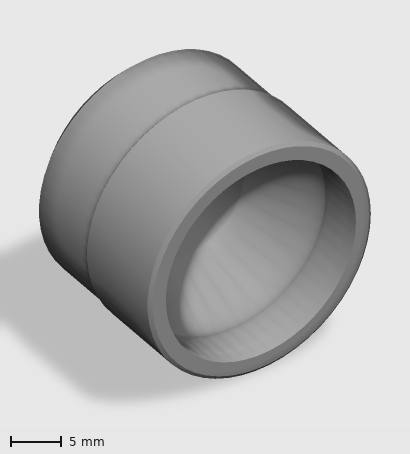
import cadquery as cq
import math

length = 21.0
head_diameter = 26.9
body_diameter = 26.4
bore_diameter = 14.0
counterbore_diameter = 22.9

nose_chamfer = 1.6
head_length = 10.75
head_chamfer_length = 0.3
head_chamfer_depth = 0.43
bore_chamfer = 0.3
bore_length = 8.07
cone_half_angle = 30.0

head_radius = head_diameter / 2
body_radius = body_diameter / 2
bore_radius = bore_diameter / 2
counterbore_radius = counterbore_diameter / 2
step_height = head_radius - body_radius
head_start = length - head_length

cone_length = (counterbore_radius - bore_radius) / math.tan(math.radians(cone_half_angle))
cone_end = bore_length + cone_length

half_section = (
    cq.Workplane("XY")
    .moveTo(0, bore_radius + bore_chamfer)
    .lineTo(0, body_radius - nose_chamfer)
    .lineTo(nose_chamfer, body_radius)
    .lineTo(head_start - step_height, body_radius)
    .lineTo(head_start, head_radius)
    .lineTo(length - head_chamfer_length, head_radius)
    .lineTo(length, head_radius - head_chamfer_depth)
    .lineTo(length, counterbore_radius)
    .lineTo(cone_end, counterbore_radius)
    .lineTo(bore_length, bore_radius)
    .lineTo(bore_chamfer, bore_radius)
    .close()
)

result = half_section.revolve(360, (0, 0, 0), (1, 0, 0))